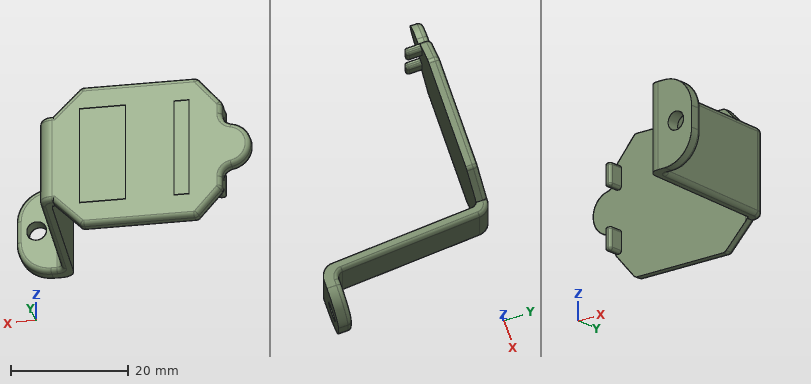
import cadquery as cq
import math


plate_thickness = 2.0
length = 46.2
plate_height = 26.0
outer_bend_radius = 2.35
inner_bend_radius = 1.0
edge_round = 0.85

plate_left = 4.95
plate_top_left = 9.35
plate_top_right = 29.32
plate_right = 34.35
plate_corner_radius = 1.0

strap_height = 16.0
strap_thickness = 1.9
strap_lean = 3.0
strap_inner_x = 34.9
foot_front = -29.0
foot_thickness = 2.55
foot_corner_radius = 6.0
hole_diameter = 3.4
hole_x = 42.65

tab_radius = 4.0
tab_neck_radius = 2.0

peg_width = 1.35
peg_length = 4.35
peg_depth = 2.8
peg_round = 0.5

pad_rise = 0.2
pad_height = 17.65
pad_spans = [(10.58, 2.65), (21.65, 8.0)]

half_plate = plate_height / 2
half_strap = strap_height / 2


def bent_sheet():
    """Bent section in XY, extruded over the full plate height."""
    lean = math.radians(strap_lean)
    strap_outer_x = strap_inner_x + strap_thickness / math.cos(lean)
    foot_back = foot_front + foot_thickness

    def inner_face(y):
        return (strap_inner_x - y * math.tan(lean), y)

    def outer_face(y):
        return (strap_outer_x - y * math.tan(lean), y)

    outer_corners = [outer_face(plate_thickness), inner_face(foot_front)]
    inner_corners = [inner_face(0), outer_face(foot_back)]
    bent = (
        cq.Workplane("XY")
        .workplane(offset=-half_plate)
        .polyline([
            (0, 0),
            inner_corners[0],
            outer_corners[1],
            (length, foot_front),
            (length, foot_back),
            inner_corners[1],
            outer_corners[0],
            (0, plate_thickness),
        ])
        .close()
        .extrude(plate_height)
    )
    for corners, radius in ((outer_corners, outer_bend_radius), (inner_corners, inner_bend_radius)):
        for x, y in corners:
            bent = bent.edges(cq.NearestToPointSelector((x, y, 0))).fillet(radius)
    return bent


def through_prism(sketch):
    """Extrude an XZ outline through the whole depth of the part."""
    return sketch.extrude(length, both=True)


def plate_outline():
    """Rectangle with four cut corners; the corners next to the strap stay sharp."""
    corners = [
        (plate_left, half_strap),
        (plate_top_left, half_plate),
        (plate_top_right, half_plate),
        (plate_right, half_strap),
    ]
    mirrored = [(x, -z) for x, z in reversed(corners)]
    prism = through_prism(cq.Workplane("XZ").polyline(corners + mirrored).close())
    free_corners = corners[:-1] + mirrored[1:]
    for x, z in free_corners:
        prism = prism.edges(cq.NearestToPointSelector((x, 0, z))).fillet(plate_corner_radius)
    return prism


def tab_outline():
    """Round tab with a concave neck arc blending into the plate's left edge on each side."""
    neck_x = plate_left - tab_neck_radius
    center_gap = tab_radius + tab_neck_radius
    neck_z = math.sqrt(center_gap**2 - (tab_radius - neck_x) ** 2)
    share = tab_radius / center_gap
    join_x = tab_radius + share * (neck_x - tab_radius)
    join_z = share * neck_z

    mid_angle = math.atan2(join_z - neck_z, join_x - neck_x) / 2
    mid_x = neck_x + tab_neck_radius * math.cos(mid_angle)
    mid_z = neck_z + tab_neck_radius * math.sin(mid_angle)
    root_x = plate_left + tab_radius
    return through_prism(
        cq.Workplane("XZ")
        .moveTo(plate_left, neck_z)
        .threePointArc((mid_x, mid_z), (join_x, join_z))
        .threePointArc((0, 0), (join_x, -join_z))
        .threePointArc((mid_x, -mid_z), (plate_left, -neck_z))
        .lineTo(root_x, -neck_z)
        .lineTo(root_x, neck_z)
        .close()
    )


def strap_outline():
    """Strap and foot as one band that overlaps the plate, with a rounded free end."""
    strap_start = plate_top_right
    return through_prism(
        cq.Workplane("XZ")
        .center((strap_start + length) / 2, 0)
        .rect(length - strap_start, strap_height)
    ).edges("|Y and >X").fillet(foot_corner_radius)


def round_back_edges(body):
    """Round the rim of the back skin: every edge of a +Y-facing face not shared by two of them."""
    flat_limit = 0.01
    skin = [face for face in body.faces().vals() if face.normalAt().y > flat_limit]
    edges = [edge for face in skin for edge in face.outerWire().Edges()]
    rim = [edge for edge in edges if sum(edge.isSame(other) for other in edges) == 1]
    return body.newObject(rim).fillet(edge_round)


def peg(side):
    """Peg flush with the plate's left edge; its outer end lines up with the strap edge."""
    block = (
        cq.Workplane("XY")
        .box(peg_width, peg_depth + plate_thickness / 2, peg_length, centered=(False, False, True))
        .edges("|Y or <Y")
        .fillet(peg_round)
    )
    return block.translate((plate_left, -peg_depth, side * (half_strap - peg_length / 2)))


def pad(left, width):
    """Flat pad rooted at the middle of the plate thickness and standing proud of the back face."""
    depth = plate_thickness / 2 + pad_rise
    block = cq.Workplane("XY").box(width, depth, pad_height, centered=(False, False, True))
    return block.translate((left, plate_thickness / 2, 0))


outline = plate_outline().union(tab_outline()).union(strap_outline())
body = round_back_edges(bent_sheet().intersect(outline))

hole = through_prism(cq.Workplane("XZ").center(hole_x, 0).circle(hole_diameter / 2))
result = body.cut(hole)

for side in (1, -1):
    result = result.union(peg(side))
for left, width in pad_spans:
    result = result.union(pad(left, width))